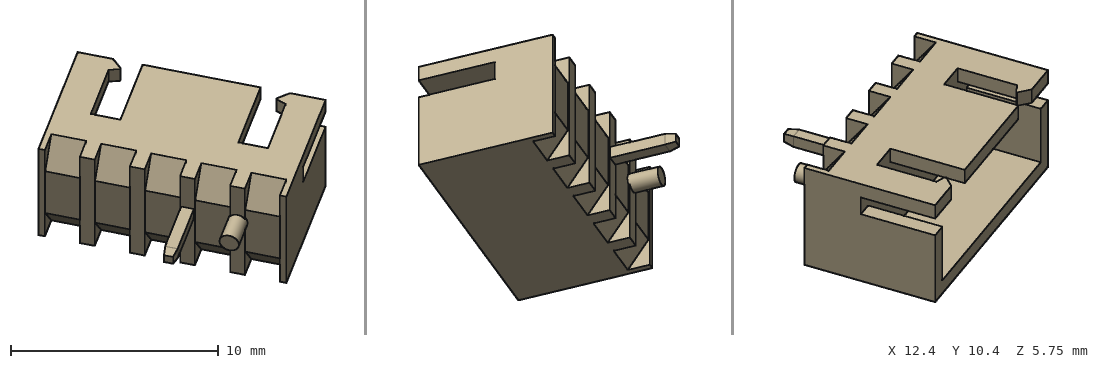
import cadquery as cq

LENGTH = 12.4
DEPTH = 7.0
HEIGHT = 5.75
WALL = 0.79
CAVITY_DEPTH = 3.98

SLOT_WIDTH = 1.48
SLOT_INSET = 1.77
HOOK_REACH = 0.52
HOOK_LEAD = 0.52
HOOK_TIP_FLAT = 0.07
HOOK_BACK = 0.79

SIDE_SLOT_HEIGHT = 0.99

PITCH = 2.5
RIB_COUNT = 4
RIB_WIDTH = 0.75
END_RIB_WIDTH = 0.32
RECESS = 0.07
RELIEF_DEPTH = 1.15
RELIEF_HEIGHT = 1.49

PIN_WIDTH = 0.63
PIN_LENGTH = 3.4
PIN_TIP_WIDTH = 0.46
PIN_TIP_LENGTH = 0.53
PEG_DIAMETER = 0.97
PEG_LENGTH = 1.5
PIN_BELOW_TOP = 2.33
PIN_HEIGHT = HEIGHT - PIN_BELOW_TOP

rib_centres = [(i - (RIB_COUNT - 1) / 2) * PITCH for i in range(RIB_COUNT)]
cavity_floor = DEPTH - CAVITY_DEPTH


def housing_shell():
    """Box with a rectangular cavity open toward +Y."""
    body = cq.Workplane("XY").box(LENGTH, DEPTH, HEIGHT, centered=(True, False, False))
    cavity = (
        cq.Workplane("XY")
        .box(LENGTH - 2 * WALL, CAVITY_DEPTH, HEIGHT - 2 * WALL, centered=(True, False, False))
        .translate((0, cavity_floor, WALL))
    )
    return body.cut(cavity)


def left_latch_slot():
    """Slot through the top wall with a hook on its outer edge at the open end."""
    outer = SLOT_INSET - LENGTH / 2
    inner = outer + SLOT_WIDTH
    outline = [
        (outer, cavity_floor),
        (inner, cavity_floor),
        (inner, DEPTH),
        (outer, DEPTH),
        (outer + HOOK_REACH, DEPTH - HOOK_LEAD),
        (outer + HOOK_REACH, DEPTH - HOOK_LEAD - HOOK_TIP_FLAT),
        (outer, DEPTH - HOOK_BACK),
    ]
    return cq.Workplane("XY").workplane(offset=HEIGHT - WALL).polyline(outline).close().extrude(WALL)


def side_slots():
    """Slot through both end walls, directly below the top wall."""
    return (
        cq.Workplane("XY")
        .box(LENGTH, CAVITY_DEPTH, SIDE_SLOT_HEIGHT, centered=(True, False, False))
        .translate((0, cavity_floor, HEIGHT - WALL - SIDE_SLOT_HEIGHT))
    )


def relief(x_start, x_end):
    """Recess between two ribs: a shallow flat with a slope to the top and one to the bottom."""
    outline = [
        (0, 0),
        (RELIEF_DEPTH, 0),
        (RECESS, RELIEF_HEIGHT),
        (RECESS, HEIGHT - RELIEF_HEIGHT),
        (RELIEF_DEPTH, HEIGHT),
        (0, HEIGHT),
    ]
    return cq.Workplane("YZ").workplane(offset=x_start).polyline(outline).close().extrude(x_end - x_start)


def contact_pin(x):
    """Square pin pointing toward -Y with a tapered tip."""
    shank_length = PIN_LENGTH - PIN_TIP_LENGTH
    shank = cq.Workplane("XZ").center(x, PIN_HEIGHT).rect(PIN_WIDTH, PIN_WIDTH).extrude(shank_length)
    tip = (
        cq.Workplane("XZ", origin=(x, -shank_length, PIN_HEIGHT))
        .rect(PIN_WIDTH, PIN_WIDTH)
        .workplane(offset=PIN_TIP_LENGTH)
        .rect(PIN_TIP_WIDTH, PIN_TIP_WIDTH)
        .loft(ruled=True)
    )
    return shank.union(tip)


def locating_peg(x):
    """Round peg toward -Y, rooted past the recessed flats beside its rib."""
    return (
        cq.Workplane("XZ", origin=(x, RECESS, PIN_HEIGHT))
        .circle(PEG_DIAMETER / 2)
        .extrude(PEG_LENGTH + RECESS)
    )


result = housing_shell().cut(side_slots())

latch_slot = left_latch_slot()
result = result.cut(latch_slot).cut(latch_slot.mirror("YZ"))

relief_starts = [END_RIB_WIDTH - LENGTH / 2] + [x + RIB_WIDTH / 2 for x in rib_centres]
relief_ends = [x - RIB_WIDTH / 2 for x in rib_centres] + [LENGTH / 2 - END_RIB_WIDTH]
for x_start, x_end in zip(relief_starts, relief_ends):
    result = result.cut(relief(x_start, x_end))

pin_x = rib_centres[-2]
peg_x = rib_centres[-1]
result = result.union(contact_pin(pin_x)).union(locating_peg(peg_x))